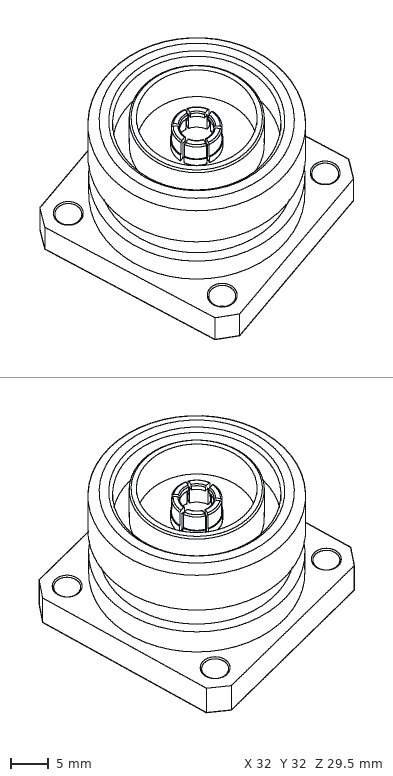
import cadquery as cq
FLANGE_SIDE = 32.0
FLANGE_THICKNESS = 4.8
CORNER_CHAMFER = 2.37
HOLE_OFFSET = 12.32
HOLE_RADIUS = 1.8
HOLE_CHAMFER = 0.2

BODY_RADIUS = 14.5
NECK_RADIUS = 13.0
COLLAR_RADIUS = 14.4
COLLAR_TOP = 8.75
NECK_TOP = 12.32
HEAD_BEVEL = 0.77
HEAD_TOP = 20.67

CAVITY_FLOOR = 15.45
CAVITY_RADIUS = 11.2
CAVITY_RIM_RADIUS = 11.7
CAVITY_BEVEL = 0.5

SLEEVE_TOP = 21.3
SLEEVE_RADIUS = 9.0
SLEEVE_BORE_RADIUS = 8.03
SLEEVE_CHAMFER = 0.25

CONTACT_TOP = 19.52
CONTACT_RADIUS = 3.35
CONTACT_CHAMFER = 0.22
CONTACT_BASE_RADIUS = 3.5
CONTACT_BASE_HEIGHT = 1.25
CONTACT_LIP_RADIUS = 2.3
CONTACT_LIP_DEPTH = 0.9
CONTACT_LIP_CHAMFER = 0.2
CONTACT_BORE_RADIUS = 2.9
MAIN_SLOT_WIDTH = 0.58
SIDE_SLOT_WIDTH = 0.4
SIDE_SLOT_ANGLES = (30, 150)

PAD_RADIUS = 11.23
PAD_BOTTOM = -0.22
CONE_TOP_RADIUS = 7.0
CONE_BOTTOM_RADIUS = 6.08
CONE_BOTTOM = -1.25
STUB_ROOT_RADIUS = 4.4
STUB_RADIUS = 4.22
STUB_ROOT_BOTTOM = -1.73
STUB_BOTTOM = -8.2


def revolve_profile(points):
    """Turn a closed (radius, height) outline around the Z axis."""
    return cq.Workplane("XZ").polyline(points).close().revolve(360, (0, 0, 0), (0, 1, 0))


def make_flange():
    flange = (
        cq.Workplane("XY")
        .rect(FLANGE_SIDE, FLANGE_SIDE)
        .extrude(FLANGE_THICKNESS)
        .edges("|Z")
        .chamfer(CORNER_CHAMFER)
    )
    hole_spacing = 2 * HOLE_OFFSET
    return (
        flange.faces(">Z")
        .workplane()
        .rect(hole_spacing, hole_spacing, forConstruction=True)
        .vertices()
        .cskHole(2 * HOLE_RADIUS, 2 * (HOLE_RADIUS + HOLE_CHAMFER), 90)
    )


def make_body():
    return revolve_profile([
        (0, FLANGE_THICKNESS),
        (COLLAR_RADIUS, FLANGE_THICKNESS),
        (COLLAR_RADIUS, COLLAR_TOP),
        (NECK_RADIUS, COLLAR_TOP),
        (NECK_RADIUS, NECK_TOP),
        (BODY_RADIUS, NECK_TOP + HEAD_BEVEL),
        (BODY_RADIUS, HEAD_TOP - HEAD_BEVEL),
        (NECK_RADIUS, HEAD_TOP),
        (CAVITY_RIM_RADIUS, HEAD_TOP),
        (CAVITY_RADIUS, HEAD_TOP - CAVITY_BEVEL),
        (CAVITY_RADIUS, CAVITY_FLOOR),
        (0, CAVITY_FLOOR),
    ])


def make_sleeve():
    return revolve_profile([
        (SLEEVE_BORE_RADIUS, CAVITY_FLOOR),
        (SLEEVE_RADIUS, CAVITY_FLOOR),
        (SLEEVE_RADIUS, SLEEVE_TOP - SLEEVE_CHAMFER),
        (SLEEVE_RADIUS - SLEEVE_CHAMFER, SLEEVE_TOP),
        (SLEEVE_BORE_RADIUS, SLEEVE_TOP),
    ])


def make_slot(width, angle):
    """Diametral slot cutter through the contact wall, turned about Z."""
    slot = cq.Workplane("XY").box(
        3 * CONTACT_RADIUS, width, CONTACT_TOP - CAVITY_FLOOR, centered=(True, True, False)
    )
    return slot.translate((0, 0, CAVITY_FLOOR)).rotate((0, 0, 0), (0, 0, 1), angle)


def make_contact():
    base_top = CAVITY_FLOOR + CONTACT_BASE_HEIGHT
    contact = revolve_profile([
        (CONTACT_BORE_RADIUS, CAVITY_FLOOR),
        (CONTACT_BASE_RADIUS, CAVITY_FLOOR),
        (CONTACT_BASE_RADIUS, base_top),
        (CONTACT_RADIUS, base_top),
        (CONTACT_RADIUS, CONTACT_TOP - CONTACT_CHAMFER),
        (CONTACT_RADIUS - CONTACT_CHAMFER, CONTACT_TOP),
        (CONTACT_LIP_RADIUS + CONTACT_LIP_CHAMFER, CONTACT_TOP),
        (CONTACT_LIP_RADIUS, CONTACT_TOP - CONTACT_LIP_CHAMFER),
        (CONTACT_LIP_RADIUS, CONTACT_TOP - CONTACT_LIP_DEPTH),
        (CONTACT_BORE_RADIUS, CONTACT_TOP - CONTACT_LIP_DEPTH),
    ])
    contact = contact.cut(make_slot(MAIN_SLOT_WIDTH, 90))
    for angle in SIDE_SLOT_ANGLES:
        contact = contact.cut(make_slot(SIDE_SLOT_WIDTH, angle))
    return contact


def make_rear():
    return revolve_profile([
        (0, 0),
        (PAD_RADIUS, 0),
        (PAD_RADIUS, PAD_BOTTOM),
        (CONE_TOP_RADIUS, PAD_BOTTOM),
        (CONE_BOTTOM_RADIUS, CONE_BOTTOM),
        (STUB_ROOT_RADIUS, CONE_BOTTOM),
        (STUB_RADIUS, STUB_ROOT_BOTTOM),
        (STUB_RADIUS, STUB_BOTTOM),
        (0, STUB_BOTTOM),
    ])


result = (
    make_flange()
    .union(make_body())
    .union(make_sleeve())
    .union(make_contact())
    .union(make_rear())
)